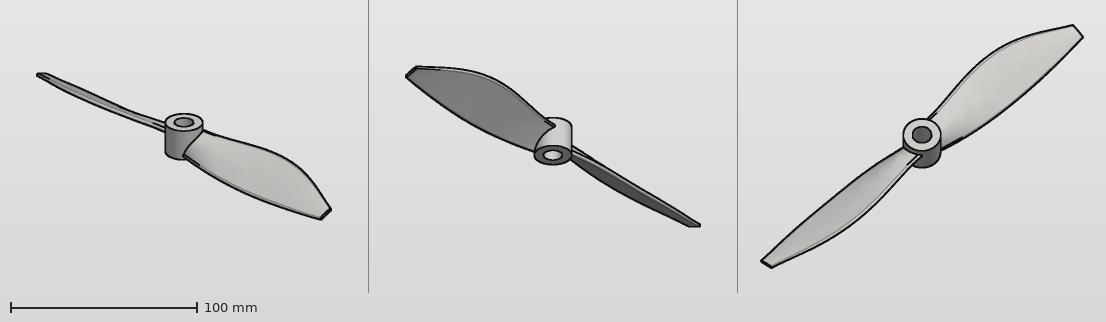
import cadquery as cq
import math

hub_diameter = 20.2
bore_diameter = 10.2
hub_height = 17.5

span = 221.8
tip_x = span / 2
blade_count = 2

blade_sections = [
    (5.3, 2.2, 3.0, 7.5, 13.5, -7.3, 1.5),
    (17.7, 2.2, 2.5, 8.2, 13.5, -9.5, 0.9),
    (35.5, 2.2, 1.3, 11.0, 14.2, -11.3, 0.0),
    (53.2, 2.2, 0.7, 13.0, 14.9, -11.8, -0.7),
    (71, 2.2, 0.5, 12.5, 14.2, -11.5, -0.5),
    (88.7, 2.0, 0.5, 8.2, 11.5, -10.6, 0.5),
    (tip_x, 1.5, 0.2, -0.2, 6.2, -8.6, 2.0),
]


def section_wire(x, thickness, crown, raised_y, raised_z, lowered_y, lowered_z):
    """Flat-bottomed, crowned profile with round edges, in the plane at the given x."""
    radius = thickness / 2
    end_y, end_z = raised_y - radius, raised_z - radius
    start_y, start_z = lowered_y + radius, lowered_z + radius
    half_chord = math.hypot(end_y - start_y, end_z - start_z) / 2
    pitch = math.degrees(math.atan2(end_z - start_z, end_y - start_y))
    middle = (x, (start_y + end_y) / 2, (start_z + end_z) / 2)
    profile = (
        cq.Workplane("YZ")
        .moveTo(-half_chord, -radius)
        .lineTo(half_chord, -radius)
        .threePointArc((half_chord + radius, 0), (half_chord, radius))
        .threePointArc((0, radius + crown), (-half_chord, radius))
        .threePointArc((-half_chord - radius, 0), (-half_chord, -radius))
        .close()
    )
    return (
        profile.rotate((0, 0, 0), (1, 0, 0), pitch)
        .translate(middle)
        .val()
    )


def make_blade():
    """Smooth twisted blade through all of its cross-sections."""
    wires = [section_wire(*section) for section in blade_sections]
    return cq.Workplane(cq.Solid.makeLoft(wires))


hub = cq.Workplane("XY").circle(hub_diameter / 2).extrude(hub_height)
bore = cq.Workplane("XY").circle(bore_diameter / 2).extrude(hub_height)

blade = make_blade()
propeller = hub
for index in range(blade_count):
    angle = index * 360 / blade_count
    propeller = propeller.union(blade.rotate((0, 0, 0), (0, 0, 1), angle))

result = propeller.cut(bore)